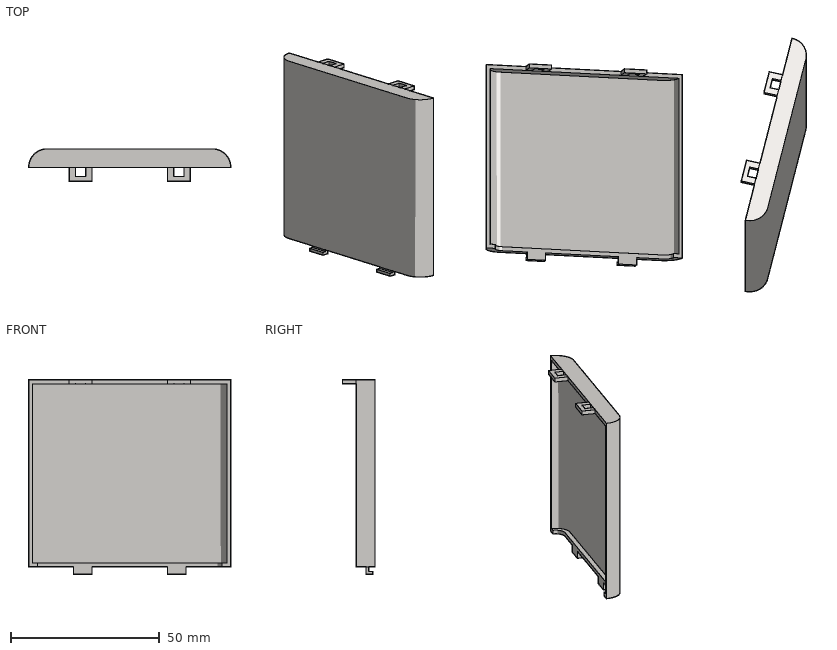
import cadquery as cq

cover_width = 68.1
cover_height = 62.95
cover_depth = 6.3
corner_radius = 6.25
wall = 1.3
end_wall = 1.35

lip_depth = 3.05

fastener_inner_edge = 12.65

hook_width = 6.3
hook_drop = 2.5
hook_thickness = 1.0
hook_reach = 2.3

loop_width = 7.75
loop_length = 4.6
loop_thickness = 1.35
loop_opening_width = 3.4
loop_opening_length = 3.0


def rounded_section(inset, bottom, top):
    """Cover section shrunk by inset on the back and sides, extruded from bottom to top."""
    half_width = cover_width / 2 - inset
    radius = corner_radius - inset
    section_depth = cover_depth - inset
    block = cq.Workplane("XY").box(
        2 * half_width, section_depth, top - bottom, centered=(True, False, False)
    )
    block = block.edges("|Z and >Y").fillet(radius)
    return block.translate((0, -cover_depth, bottom))


def make_hook(side):
    """L-shaped hook: a stem down from the lip and a foot turned toward the back."""
    stem_back = -lip_depth + hook_thickness
    foot_back = -lip_depth + hook_reach
    foot_top = -hook_drop + hook_thickness
    outline = [
        (-lip_depth, 0),
        (-lip_depth, -hook_drop),
        (foot_back, -hook_drop),
        (foot_back, foot_top),
        (stem_back, foot_top),
        (stem_back, 0),
    ]
    center_x = side * (fastener_inner_edge + hook_width / 2)
    hook = cq.Workplane("YZ").polyline(outline).close().extrude(hook_width / 2, both=True)
    return hook.translate((center_x, 0, 0))


def make_cover():
    """Tray with rounded sides, a lowered bottom lip and two hooks."""
    cover = rounded_section(0, 0, cover_height)
    cover = cover.cut(rounded_section(wall, end_wall, cover_height - end_wall))
    cover = cover.cut(rounded_section(lip_depth, 0, end_wall))
    for side in (-1, 1):
        cover = cover.union(make_hook(side))
    return cover


def make_loop(side):
    """U-shaped loop standing forward from the upper rim, open against the rim."""
    center_x = side * (fastener_inner_edge + loop_width / 2)
    loop = cq.Workplane("XY").box(
        loop_width, loop_length, loop_thickness, centered=(True, False, False)
    )
    opening = (
        cq.Workplane("XY")
        .box(loop_opening_width, loop_opening_length, loop_thickness, centered=(True, False, False))
        .translate((0, loop_length - loop_opening_length, 0))
    )
    loop_front = -cover_depth - loop_length
    return loop.cut(opening).translate((center_x, loop_front, cover_height - loop_thickness))


cover = make_cover()
loops = [make_loop(side) for side in (-1, 1)]

result = cq.Compound.makeCompound([cover.val(), *[loop.val() for loop in loops]])